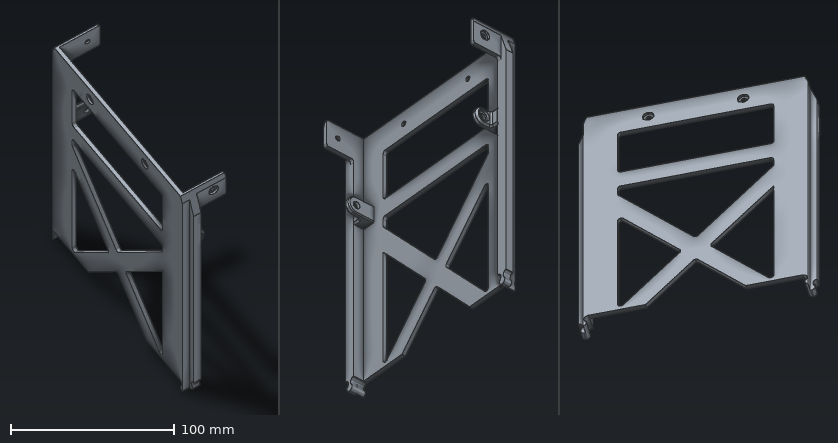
import cadquery as cq
import math

height = 196.0
depth = 33.0
width = 150.7
half_width = width / 2

plate_thickness = 3.0
plate_half_width = 71.0
wall_inner_x = 67.5
wall_depth = 11.0
bottom_z = 9.2

rail_front_y = 5.5

slope_top_x = 69.0
slope_low_z = 178.4

tab_outer_x = 70.4
tab_bottom_z = 176.0
tab_corner_radius = 1.5
tab_root_radius = 2.0
tab_hole_y = 23.7

screw_diameter = 3.5
screw_head_diameter = 7.0
screw_head_depth = 1.5
screw_drop = 10.0
screw_z = height - screw_drop
plate_screw_x = 30.0

opening_width = 98.4
opening_radius = 2.0
upper_opening_top = 175.8
upper_opening_bottom = 138.5
crossbar_bottom = 125.2

brace_center_z = 53.7
brace_slope = 1.1
brace_half_rise = 9.8
brace_half_run = brace_half_rise / brace_slope

foot_diameter = 5.0
tail_x = 71.5
flare_radius = 3.0

lug_z = 132.3
lug_hole_y = 17.0
lug_radius = 6.3
lug_inner_x = 57.6
lug_outer_x = 62.0
lug_pad_y = 11.4
lug_root_chamfer = 1.2
lug_outer_chamfer = 1.4
lug_inner_chamfer = 0.8
lug_hole_diameter = 5.0
lug_recess_diameter = 8.0
lug_recess_depth = 2.0


def box(x_range, y_range, z_range):
    """Box between the given limits on each axis."""
    spans = [high - low for low, high in (x_range, y_range, z_range)]
    corner = (x_range[0], y_range[0], z_range[0])
    return cq.Workplane("XY").box(*spans, centered=False).translate(corner)


def xz_prism(points, y_length):
    """Outline in X and Z, extruded from the front face toward +Y."""
    return cq.Workplane("XZ").polyline(points).close().extrude(-y_length)


def y_cylinder(x, z, diameter, y_length):
    """Cylinder along Y that starts on the front face."""
    return cq.Workplane("XZ").center(x, z).circle(diameter / 2).extrude(-y_length)


def x_cylinder(x_start, y, z, diameter, x_length):
    """Cylinder along X that starts at x_start."""
    return cq.Workplane("YZ", origin=(x_start, y, z)).circle(diameter / 2).extrude(x_length)


def round_corners(prism, selector=None):
    """Round the Y-parallel corners of an opening, or only the selected ones."""
    corners = prism.edges("|Y")
    if selector:
        corners = corners.edges(selector)
    return corners.fillet(opening_radius)


def brace_edge_z(x, side):
    """Z of the brace edges above (side = 1) or below (side = -1) the crossing."""
    return brace_center_z + side * (brace_half_rise + brace_slope * abs(x))


def plate_openings():
    """Window, triangles between the braces, and the notch in the lower edge."""
    half = opening_width / 2
    side_rise = brace_slope * (half - brace_half_run)
    side_top = brace_center_z + side_rise
    side_bottom = brace_center_z - side_rise

    window = round_corners(box(
        (-half, half), (0, plate_thickness), (upper_opening_bottom, upper_opening_top)))

    top_triangle = round_corners(xz_prism([
        (-half, crossbar_bottom),
        (half, crossbar_bottom),
        (half, brace_edge_z(half, 1)),
        (0, brace_edge_z(0, 1)),
        (-half, brace_edge_z(half, 1)),
    ], plate_thickness))

    left_triangle = round_corners(xz_prism(
        [(-half, side_bottom), (-brace_half_run, brace_center_z), (-half, side_top)],
        plate_thickness))

    right_triangle = round_corners(xz_prism(
        [(half, side_bottom), (brace_half_run, brace_center_z), (half, side_top)],
        plate_thickness), "not >Z")

    notch_top = brace_edge_z(0, -1)
    notch_half_width = (notch_top - bottom_z) / brace_slope
    notch = round_corners(xz_prism(
        [(-notch_half_width, bottom_z), (0, notch_top), (notch_half_width, bottom_z)],
        plate_thickness), ">Z")

    return [window, top_triangle, left_triangle, right_triangle, notch]


def front_plate():
    plate = box((-plate_half_width, plate_half_width), (0, plate_thickness), (bottom_z, height))
    for opening in plate_openings():
        plate = plate.cut(opening)
    for x in (-plate_screw_x, plate_screw_x):
        plate = plate.cut(y_cylinder(x, screw_z, screw_diameter, plate_thickness))
        plate = plate.cut(y_cylinder(x, screw_z, screw_head_diameter, screw_head_depth))
    return plate


def right_wall():
    """Wall with its guide rail along the plate's right edge."""
    wall = box((wall_inner_x, plate_half_width), (0, wall_depth), (bottom_z, height))
    rail = box((wall_inner_x, half_width), (rail_front_y, wall_depth), (bottom_z, height))
    return wall.union(rail)


def right_tab():
    """Rear tab with rounded tips, a filleted root and a counterbored hole."""
    thickness = tab_outer_x - wall_inner_x
    tab = box((wall_inner_x, tab_outer_x), (rail_front_y, depth), (tab_bottom_z, height))
    tab = tab.edges("|X and >Y").fillet(tab_corner_radius)

    root_low_z = tab_bottom_z - tab_root_radius
    root_far_y = wall_depth + tab_root_radius
    root = box((wall_inner_x, tab_outer_x), (wall_depth, root_far_y), (root_low_z, tab_bottom_z))
    root = root.cut(x_cylinder(wall_inner_x, root_far_y, root_low_z, 2 * tab_root_radius, thickness))

    hole = x_cylinder(wall_inner_x, tab_hole_y, screw_z, screw_diameter, thickness)
    recess = x_cylinder(
        tab_outer_x - screw_head_depth, tab_hole_y, screw_z, screw_head_diameter, screw_head_depth)
    return tab.union(root).cut(hole).cut(recess)


def right_tail():
    """Flared neck and round foot below the wall, stepped in front like the rail."""
    foot_radius = foot_diameter / 2
    flare_z = bottom_z - flare_radius

    center_distance = foot_radius + flare_radius
    flare_rise = flare_z - foot_radius
    flare_offset = math.sqrt(center_distance**2 - flare_rise**2)
    tangent_z = foot_radius + flare_rise * foot_radius / center_distance
    tangent_offset = flare_offset * foot_radius / center_distance
    neck_half = flare_offset - flare_radius

    neck = (
        cq.Workplane("XZ")
        .moveTo(tail_x - flare_offset, bottom_z)
        .threePointArc((tail_x - neck_half, flare_z), (tail_x - tangent_offset, tangent_z))
        .lineTo(tail_x + tangent_offset, tangent_z)
        .threePointArc((tail_x + neck_half, flare_z), (tail_x + flare_offset, bottom_z))
        .close()
        .extrude(-wall_depth)
    )
    neck = neck.intersect(box((wall_inner_x, half_width), (0, wall_depth), (0, bottom_z)))
    foot = y_cylinder(tail_x, foot_radius, foot_diameter, wall_depth)
    step = box((plate_half_width, half_width), (0, rail_front_y), (0, bottom_z))
    return foot.union(neck).cut(step)


def right_lug():
    """Rounded lug standing on a pad that joins it to the wall."""
    tip_y = lug_hole_y + lug_radius
    profile = [
        (lug_inner_x, 0),
        (wall_inner_x, 0),
        (wall_inner_x, lug_pad_y),
        (lug_outer_x + lug_root_chamfer, lug_pad_y),
        (lug_outer_x, lug_pad_y + lug_root_chamfer),
        (lug_outer_x, tip_y),
        (lug_inner_x, tip_y),
    ]
    lug = cq.Workplane("XY", origin=(0, 0, lug_z - lug_radius))
    lug = lug.polyline(profile).close().extrude(2 * lug_radius)

    lug_span = wall_inner_x - lug_inner_x
    outline = x_cylinder(lug_inner_x, lug_hole_y, lug_z, 2 * lug_radius, lug_span).union(box(
        (lug_inner_x, wall_inner_x), (0, lug_hole_y), (lug_z - lug_radius, lug_z + lug_radius)))
    lug = lug.intersect(outline)

    box_margin = 0.2
    outer_side = cq.selectors.BoxSelector(
        ((lug_inner_x + lug_outer_x) / 2 + box_margin, lug_pad_y - box_margin, 0),
        (wall_inner_x, depth, height))
    lug = lug.edges("not |Z").edges(outer_side).chamfer(lug_outer_chamfer)
    lug = lug.faces("<X").edges("not <Y").chamfer(lug_inner_chamfer)

    thickness = lug_outer_x - lug_inner_x
    hole = x_cylinder(lug_inner_x, lug_hole_y, lug_z, lug_hole_diameter, thickness)
    recess = x_cylinder(
        lug_outer_x - lug_recess_depth, lug_hole_y, lug_z, lug_recess_diameter, lug_recess_depth)
    return lug.cut(hole).cut(recess)


def right_corner_cut():
    """Wedge that slopes the upper outer corner through the full depth."""
    return xz_prism(
        [(slope_top_x, height), (half_width, slope_low_z), (half_width, height)], depth)


right_side = right_wall().union(right_tab()).union(right_tail()).union(right_lug())
left_side = right_side.mirror("YZ")
right_cut = right_corner_cut()
left_cut = right_cut.mirror("YZ")
result = front_plate().union(right_side).union(left_side).cut(right_cut).cut(left_cut)